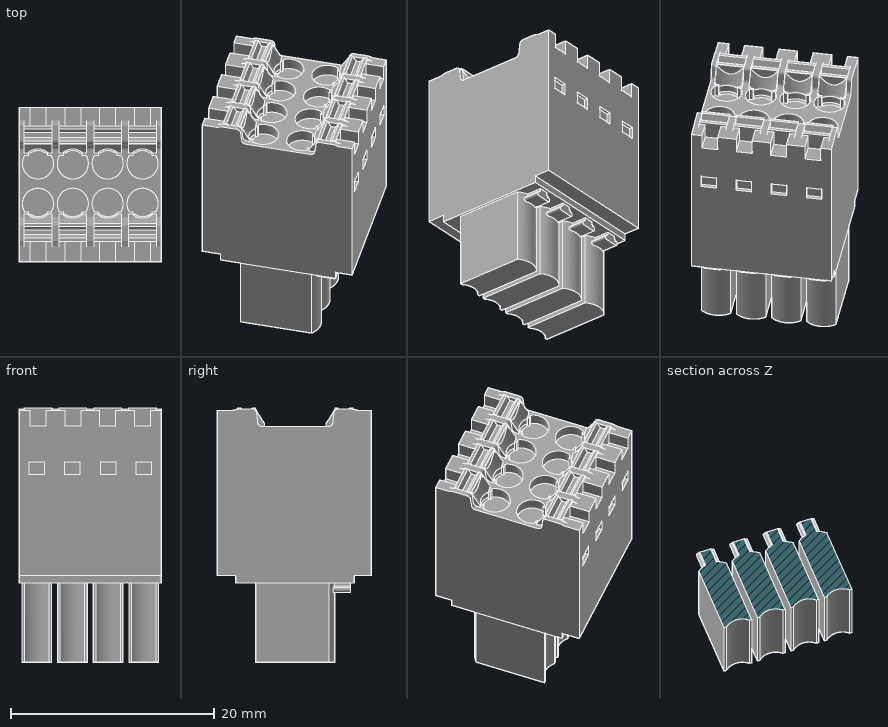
import cadquery as cq


width = 14.0
depth = 15.2
base_bottom = 7.8
base_height = 0.75
base_back = 5.9
base_front = -5.75
wall_top = 24.8
ridge_top = 24.95
valley_floor = 23.22

pole_count = 4
lever_pitch = 3.43
plug_pitch = 3.5
row_middle = 0.1
row_sides = (1, -1)

ridge_foot = 6.19
lever_back = 5.69
ridge_front = 3.8
ridge_lean = 0.1
ridge_round = 0.43
valley_round = 0.45
nose_top = 3.93
nose_front = 3.0
hole_offset = 1.98

lever_width = 2.73
lever_top = 25.05
nose_bottom = 23.62
rear_land = 0.33
front_land = 0.28
groove_depth = 0.6
groove_run = 0.35

hole_radius = 1.53
hole_floor = 22.0
hole_flat = 0.8
throat_width = 1.85

funnel_steps = ((1.28, hole_floor), (1.43, 22.2), (1.43, 22.95), (1.5, 23.05), (2.4, lever_top))
funnel_reach = 1.93

notch_width = 1.58
notch_floor = 23.27
window_width = 1.53
window_bottom = 18.5
window_height = 1.23
window_depth = 0.35

plug_width = 2.93
plug_front = -3.8
plug_shoulder = 3.43
plug_back = 4.0
scallop_width = 2.4
scallop_depth = 0.48

rib_end = 5.55
stem_width = 1.05
bead_width = 1.85
stem_bottom = 7.55
bead_shoulder = 7.36
bead_bottom = 6.86


def pole_positions(pitch):
    """X of each pole, centred on the housing."""
    return [(i - (pole_count - 1) / 2) * pitch for i in range(pole_count)]


def row_y(side, distance):
    """Y at a distance from the row middle, in the +Y or the -Y row."""
    return row_middle + side * distance


def box(x_middle, x_size, y_ends, z_ends):
    """Block from its X middle and size and its ends along Y and Z."""
    y_size = abs(y_ends[1] - y_ends[0])
    z_size = z_ends[1] - z_ends[0]
    block = cq.Workplane("XY").box(x_size, y_size, z_size, centered=(True, True, False))
    return block.translate((x_middle, sum(y_ends) / 2, z_ends[0]))


def make_block():
    """Outer block with its stepped base and the walls up to the wall top."""
    base_top = base_bottom + base_height
    block = box(0, width, (-depth / 2, depth / 2), (base_top, wall_top))
    return block.union(box(0, width, (base_front, base_back), (base_bottom, base_top)))


def make_ridge(side):
    """Raised strip along X on one outer wall, sloping outwards and rounded inwards."""
    ridge_base = ridge_front - ridge_lean
    ridge = (
        cq.Workplane("YZ")
        .moveTo(row_y(side, ridge_foot), valley_floor)
        .lineTo(row_y(side, ridge_foot), wall_top)
        .lineTo(row_y(side, lever_back), ridge_top)
        .lineTo(row_y(side, ridge_front + ridge_round), ridge_top)
        .radiusArc((row_y(side, ridge_front), ridge_top - ridge_round), side * -ridge_round)
        .lineTo(row_y(side, ridge_base), valley_floor + valley_round)
        .radiusArc((row_y(side, ridge_base - valley_round), valley_floor), side * valley_round)
        .close()
    )
    return ridge.extrude(width / 2, both=True)


def make_plug(x):
    """Plug with a scalloped front and a round back."""
    half_width = plug_width / 2
    half_scallop = scallop_width / 2
    return (
        cq.Workplane("XY")
        .moveTo(x - half_width, plug_front)
        .lineTo(x - half_scallop, plug_front)
        .threePointArc((x, plug_front + scallop_depth), (x + half_scallop, plug_front))
        .lineTo(x + half_width, plug_front)
        .lineTo(x + half_width, plug_shoulder)
        .threePointArc((x, plug_back), (x - half_width, plug_shoulder))
        .close()
        .extrude(base_bottom)
    )


def make_coding_rib(x):
    """Rib under the base behind a plug: a stem that widens to a rounded bead."""
    half_stem = stem_width / 2
    half_bead = bead_width / 2
    bead_height = bead_shoulder - bead_bottom
    half_flat = half_bead - bead_height / 2
    bead_middle = bead_bottom + bead_height / 2
    return (
        cq.Workplane("XZ", origin=(0, rib_end, 0))
        .moveTo(x - half_stem, base_bottom)
        .lineTo(x - half_stem, stem_bottom)
        .lineTo(x - half_flat, bead_shoulder)
        .threePointArc((x - half_bead, bead_middle), (x - half_flat, bead_bottom))
        .lineTo(x + half_flat, bead_bottom)
        .threePointArc((x + half_bead, bead_middle), (x + half_flat, bead_shoulder))
        .lineTo(x + half_stem, stem_bottom)
        .lineTo(x + half_stem, base_bottom)
        .close()
        .extrude(rib_end - plug_shoulder)
    )


def make_wire_hole(x, side):
    """Round wire hole with a flat side, opened towards the lever by a narrower throat."""
    heights = (hole_floor, ridge_top)
    axis_y = row_y(side, hole_offset)
    flat_y = row_y(side, hole_offset + hole_flat)
    hole = cq.Workplane("XY").circle(hole_radius).extrude(ridge_top - hole_floor)
    hole = hole.translate((x, axis_y, hole_floor))
    beyond_flat = box(x, 2 * hole_radius, (flat_y, axis_y + side * hole_radius), heights)
    throat = box(x, throat_width, (axis_y, row_y(side, nose_front)), heights)
    return hole.cut(beyond_flat).union(throat)


def make_lever_pocket(x, side):
    """Pocket that a lever fills."""
    ends = (row_y(side, nose_front), row_y(side, lever_back))
    return box(x, lever_width, ends, (hole_floor, lever_top))


def make_notch(x, side):
    """Notch through the outer wall behind a lever."""
    return box(x, notch_width, (row_y(side, lever_back), side * depth / 2), (notch_floor, lever_top))


def make_slope_gap(x, side):
    """Flat stretch of the outer wall behind a lever, where the ridge slope is left out."""
    ends = (row_y(side, lever_back), row_y(side, ridge_foot))
    return box(x, lever_width, ends, (wall_top, lever_top))


def make_window(x, side):
    """Shallow test window in an outer wall."""
    outer_y = side * depth / 2
    heights = (window_bottom, window_bottom + window_height)
    return box(x, window_width, (outer_y - side * window_depth, outer_y), heights)


def make_housing():
    """The housing: block, ridges, plugs and ribs, less all its openings."""
    valley_ends = (row_y(-1, ridge_foot), row_y(1, ridge_foot))
    housing = make_block().cut(box(0, width, valley_ends, (valley_floor, wall_top)))
    for side in row_sides:
        housing = housing.union(make_ridge(side))
    for x in pole_positions(plug_pitch):
        housing = housing.union(make_plug(x))
        housing = housing.union(make_coding_rib(x))
        for side in row_sides:
            housing = housing.cut(make_window(x, side))
    for x in pole_positions(lever_pitch):
        for side in row_sides:
            housing = housing.cut(make_lever_pocket(x, side))
            housing = housing.cut(make_wire_hole(x, side))
            housing = housing.cut(make_notch(x, side))
            housing = housing.cut(make_slope_gap(x, side))
    return housing


def make_funnel(x, side):
    """Stepped funnel about a wire hole axis, cut off flat below the upper edge of the nose."""
    outline = [(0, hole_floor), *funnel_steps, (0, lever_top)]
    funnel = cq.Workplane("XZ").polyline(outline).close().revolve(360, (0, 0, 0), (0, 1, 0))
    funnel = funnel.translate((x, row_y(side, hole_offset), 0))
    widest = 2 * max(radius for radius, height in funnel_steps)
    flat_y = row_y(side, hole_offset + funnel_reach)
    return funnel.cut(box(x, widest, (flat_y, row_y(side, lever_back)), (hole_floor, lever_top)))


def make_lever(x, side):
    """Release lever with a finger groove on top and a funnelled nose."""
    groove_bottom = lever_top - groove_depth
    groove_back = lever_back - rear_land
    groove_front = nose_top + front_land
    section = (
        (lever_back, hole_floor),
        (lever_back, lever_top),
        (groove_back, lever_top),
        (groove_back - groove_run, groove_bottom),
        (groove_front + groove_run, groove_bottom),
        (groove_front, lever_top),
        (nose_top, lever_top),
        (nose_front, nose_bottom),
        (nose_front, hole_floor),
    )
    outline = [(row_y(side, distance), z) for distance, z in section]
    lever = cq.Workplane("YZ").polyline(outline).close().extrude(lever_width / 2, both=True)
    return lever.translate((x, 0, 0)).cut(make_funnel(x, side))


housing = make_housing()
levers = [make_lever(x, side) for side in row_sides for x in pole_positions(lever_pitch)]

result = cq.Compound.makeCompound([housing.val(), *[lever.val() for lever in levers]])